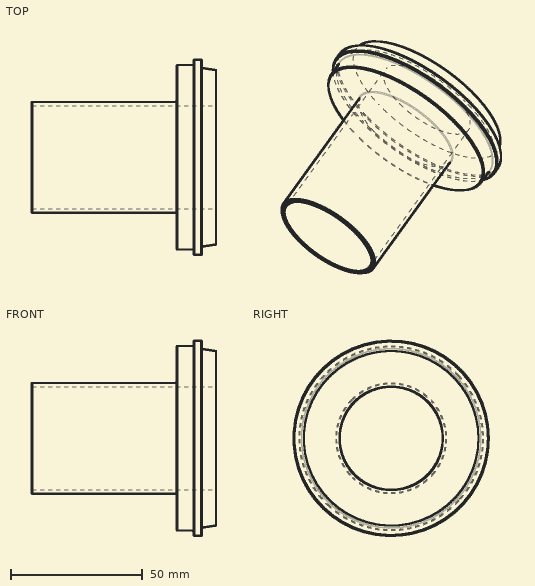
import cadquery as cq

total_length = 70.0
rim_diameter = 74.0
flange_diameter = 70.0
tube_diameter = 42.0
bore_diameter = 39.0

flange_start = 55.0
rim_start = 61.4
rim_end = 64.7

nose_base_diameter = 67.8
nose_tip_diameter = 66.15

edge_chamfer = 0.4
bore_chamfer = 0.2
tube_root_round = 0.4
rim_root_round = 0.2
selection_gap = 0.01


def disc(diameter, start, end):
    """Solid cylinder along X between two positions."""
    return cq.Workplane("YZ", origin=(start, 0, 0)).circle(diameter / 2).extrude(end - start)


def envelope(x, radius):
    """Thin box selector around a circle of a given radius at position x."""
    return cq.selectors.BoxSelector(
        (x - selection_gap, -radius, -radius), (x + selection_gap, radius, radius), boundingbox=True
    )


def circle_edge(body, x, diameter):
    """Select the circular edge of a given diameter at position x."""
    outer = envelope(x, diameter / 2 + selection_gap)
    inner = envelope(x, diameter / 2 - selection_gap)
    return body.edges(outer - inner)


tube = disc(tube_diameter, 0, total_length)
flange = disc(flange_diameter, flange_start, rim_end)
rim = disc(rim_diameter, rim_start, rim_end)
nose = (
    cq.Workplane("YZ", origin=(rim_end, 0, 0))
    .circle(nose_base_diameter / 2)
    .workplane(offset=total_length - rim_end)
    .circle(nose_tip_diameter / 2)
    .loft(ruled=True)
)
body = tube.union(flange).union(rim).union(nose)

body = body.cut(disc(bore_diameter, 0, total_length))

for position, diameter, radius in (
    (flange_start, tube_diameter, tube_root_round),
    (rim_start, flange_diameter, rim_root_round),
    (rim_end, nose_base_diameter, rim_root_round),
):
    body = circle_edge(body, position, diameter).fillet(radius)

for position, diameter, chamfer in (
    (0, bore_diameter, bore_chamfer),
    (0, tube_diameter, edge_chamfer),
    (flange_start, flange_diameter, edge_chamfer),
    (rim_start, rim_diameter, edge_chamfer),
    (rim_end, rim_diameter, edge_chamfer),
):
    body = circle_edge(body, position, diameter).chamfer(chamfer)

result = body